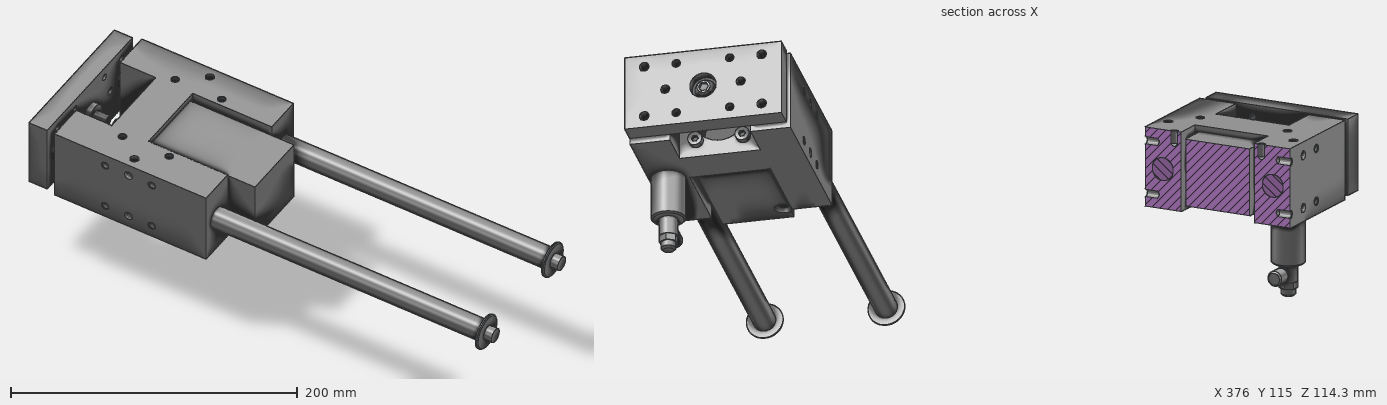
import cadquery as cq
import math

SIGNS = (-1, 1)

block_start = 21.8
block_length = 125.0
block_width = 115.0
block_height = 58.0
arm_width = 28.5
web_start = 51.0
web_thickness = 30.5
web_bore_dia = 36.0
web_screw_offset = 17.0
web_screw_head_dia = 10.0
web_screw_head_height = 5.0
web_socket_dia = 5.0
web_socket_depth = 3.0

hole_row_center = 82.7
hole_pitch = 19.0
top_tapped_y = 34.5
top_dowel_y = 49.5
tapped_dia = 5.0
tapped_mouth_dia = 6.0
tapped_depth = 9.8
drill_point_angle = 118
dowel_dia = 6.5
dowel_depth = 7.0

drive_end = 167.0
drive_width = 51.0
drive_height = 49.0
port_x = 152.5
port_opening = 11.0
port_axis_inset = 4.0
port_height = 7.0
port_plug_dia = 8.0
port_plug_height = 5.0

unit_height = 114.3
fitting_x = 79.0
barrel_dia = 24.0
barrel_bottom = -61.5
barrel_chamfer = 1.0
neck_dia = 13.0
neck_bottom = -75.0
hex_flats = 11.5
hex_bottom = -79.7
nozzle_dia = 10.5
nozzle_chamfer = 1.5
elbow_z = -68.5
elbow_root_dia = 6.8
elbow_cone_start = 84.5
elbow_collar_start = 87.0
elbow_collar_dia = 10.0
elbow_tube_start = 89.0
elbow_tube_dia = 11.0
elbow_end = 100.0
elbow_chamfer = 1.0

plate_thickness = 15.0
plate_width = 112.5
plate_height = 55.5
rod_dia = 16.0
rod_offset = 43.5
carriage_length = 376.0
washer_start = 367.7
washer_thickness = 2.0
washer_dia = 26.5
washer_chamfer = 0.8
rod_tip_dia = 10.5
plate_row_z = hole_pitch
plate_corner_hole_y = 42.0
plate_corner_hole_dia = 6.8
plate_inner_hole_y = hole_pitch
plate_inner_hole_dia = tapped_dia
plate_inner_mouth_dia = tapped_mouth_dia
plate_pin_hole_y = 27.0
coupling_dia = 17.0
coupling_end = 19.5
coupling_pin_dia = 8.0
coupling_pin_end = 30.0
recess_dia = 18.8
recess_depth = 7.5
button_head_dia = 15.0
button_top_dia = 9.5
button_head_height = 5.5
button_socket_dia = 7.0
button_socket_depth = 2.5

block_end = block_start + block_length
block_bottom = -block_height / 2
web_end = web_start + web_thickness
arm_inner = block_width / 2 - arm_width
fitting_bottom = block_height / 2 - unit_height
drive_bottom = -drive_height / 2


def box(x_start, x_end, width, height, y_center=0):
    """Box from x_start to x_end, centred on Z = 0."""
    return (
        cq.Workplane("XY")
        .box(x_end - x_start, width, height, centered=(False, True, True))
        .translate((x_start, y_center, 0))
    )


def x_cylinder(dia, x_start, x_end, y=0, z=0):
    """Round bar along X."""
    return cq.Workplane("YZ", origin=(x_start, y, z)).circle(dia / 2).extrude(x_end - x_start)


def z_cylinder(dia, z_bottom, z_top, x, y):
    """Round bar along Z."""
    return cq.Workplane("XY", origin=(x, y, z_bottom)).circle(dia / 2).extrude(z_top - z_bottom)


def x_cone(start_dia, end_dia, x_start, x_end, y=0, z=0):
    """Cone frustum along X."""
    height = x_end - x_start
    cone = cq.Solid.makeCone(
        start_dia / 2, end_dia / 2, height, cq.Vector(x_start, y, z), cq.Vector(1, 0, 0)
    )
    return cq.Workplane(cone)


def drill(mouth, direction, profile):
    """Turn a (depth, radius) profile about an axis that enters at mouth along direction."""
    entry = cq.Plane(origin=mouth, xDir=(1, 0, 0), normal=direction)
    points = [(radius, depth) for depth, radius in profile]
    outline = cq.Workplane("XZ").polyline(points).close()
    cutter = outline.revolve(360, (0, 0, 0), (0, 1, 0))
    return cq.Workplane(cutter.val().moved(cq.Location(entry)))


def tapped_hole(mouth, direction):
    """Blind hole with a countersunk mouth and a drill point."""
    radius = tapped_dia / 2
    mouth_radius = tapped_mouth_dia / 2
    tip_depth = tapped_depth + radius / math.tan(math.radians(drill_point_angle / 2))
    profile = [
        (0, 0),
        (0, mouth_radius),
        (mouth_radius - radius, radius),
        (tapped_depth, radius),
        (tip_depth, 0),
    ]
    return drill(mouth, direction, profile)


def dowel_hole(mouth, direction):
    """Plain blind hole with a flat floor."""
    radius = dowel_dia / 2
    profile = [(0, 0), (0, radius), (dowel_depth, radius), (dowel_depth, 0)]
    return drill(mouth, direction, profile)


def guide_block():
    """H-shaped block: two arms joined by a bored web, with the guide rod bores."""
    arm_center = arm_inner + arm_width / 2
    block = box(web_start, web_end, block_width, block_height)
    for side in SIGNS:
        block = block.union(box(block_start, block_end, arm_width, block_height, side * arm_center))
    block = block.cut(x_cylinder(web_bore_dia, web_start, web_end))
    for side in SIGNS:
        block = block.cut(x_cylinder(rod_dia, block_start, block_end, side * rod_offset))
    return block


def mounting_holes():
    """Tapped and dowel holes in both sides and in the top of the guide block."""
    holes = []
    for side in SIGNS:
        side_y = side * block_width / 2
        into_side = (0, -side, 0)
        for z in (-hole_pitch, hole_pitch):
            holes.append(dowel_hole((hole_row_center, side_y, z), into_side))
            for x_step in SIGNS:
                x = hole_row_center + x_step * hole_pitch
                holes.append(tapped_hole((x, side_y, z), into_side))
        top_z = block_height / 2
        into_top = (0, 0, -1)
        holes.append(dowel_hole((hole_row_center, side * top_dowel_y, top_z), into_top))
        for x_step in SIGNS:
            x = hole_row_center + x_step * hole_pitch
            holes.append(tapped_hole((x, side * top_tapped_y, top_z), into_top))
    return holes


def web_screw(y, z):
    """Socket screw head standing on the front of the web."""
    head_start = web_start - web_screw_head_height
    head = x_cylinder(web_screw_head_dia, head_start, web_start, y, z)
    socket = cq.Workplane("YZ", origin=(head_start, y, z)).polygon(6, web_socket_dia)
    return head.cut(socket.extrude(web_socket_depth))


def drive_cylinder():
    """Square drive cylinder behind the web, with a supply port notched into its lower edge."""
    drive = box(web_end, drive_end, drive_width, drive_height)
    port_y = port_axis_inset - drive_width / 2
    notch_dia = 2 * math.hypot(port_opening / 2, port_axis_inset)
    port_top = drive_bottom + port_height
    notch = z_cylinder(notch_dia, drive_bottom, port_top, port_x, port_y)
    plug = z_cylinder(port_plug_dia, port_top - port_plug_height, port_top, port_x, port_y)
    return drive.cut(notch).union(plug)


def supply_fitting():
    """Stepped vertical fitting below one arm, with a side outlet along X."""
    y = rod_offset
    barrel = z_cylinder(barrel_dia, barrel_bottom, block_bottom, fitting_x, y)
    barrel = barrel.faces("<Z").chamfer(barrel_chamfer)
    neck = z_cylinder(neck_dia, neck_bottom, barrel_bottom, fitting_x, y)
    hex_corners = hex_flats / math.cos(math.pi / 6)
    hex_nut = cq.Workplane("XY", origin=(fitting_x, y, hex_bottom)).polygon(6, hex_corners)
    hex_nut = hex_nut.extrude(neck_bottom - hex_bottom)
    nozzle = z_cylinder(nozzle_dia, fitting_bottom, hex_bottom, fitting_x, y)
    nozzle = nozzle.faces("<Z").chamfer(nozzle_chamfer)

    root = x_cylinder(elbow_root_dia, fitting_x, elbow_cone_start, y, elbow_z)
    cone = x_cone(elbow_root_dia, elbow_collar_dia, elbow_cone_start, elbow_collar_start, y, elbow_z)
    collar = x_cylinder(elbow_collar_dia, elbow_collar_start, elbow_tube_start, y, elbow_z)
    tube = x_cylinder(elbow_tube_dia, elbow_tube_start, elbow_end, y, elbow_z)
    tube = tube.faces(">X").chamfer(elbow_chamfer)

    fitting = barrel
    for piece in (neck, hex_nut, nozzle, root, cone, collar, tube):
        fitting = fitting.union(piece)
    return fitting


def make_housing():
    housing = guide_block()
    for hole in mounting_holes():
        housing = housing.cut(hole)
    for y in (-web_screw_offset, web_screw_offset):
        for z in (-web_screw_offset, web_screw_offset):
            housing = housing.union(web_screw(y, z))
    return housing.union(drive_cylinder()).union(supply_fitting())


def countersink(y, z):
    """45 degree mouth of an inner plate hole."""
    depth = (plate_inner_mouth_dia - plate_inner_hole_dia) / 2
    return x_cone(plate_inner_mouth_dia, plate_inner_hole_dia, 0, depth, y, z)


def front_plate():
    """Front plate with its through holes and the central screw recess."""
    plate = box(0, plate_thickness, plate_width, plate_height)
    for side in SIGNS:
        hole_places = [(plate_pin_hole_y, 0, dowel_dia)]
        for z in (-plate_row_z, plate_row_z):
            hole_places.append((plate_corner_hole_y, z, plate_corner_hole_dia))
            hole_places.append((plate_inner_hole_y, z, plate_inner_hole_dia))
        for y, z, dia in hole_places:
            plate = plate.cut(x_cylinder(dia, 0, plate_thickness, side * y, z))
        for z in (-plate_row_z, plate_row_z):
            plate = plate.cut(countersink(side * plate_inner_hole_y, z))
    return plate.cut(x_cylinder(recess_dia, 0, recess_depth))


def coupling():
    """Tapered screw head in the plate recess, and the collar and pin behind the plate."""
    head_start = recess_depth - button_head_height
    head = x_cone(button_top_dia, button_head_dia, head_start, recess_depth)
    socket = cq.Workplane("YZ", origin=(head_start, 0, 0)).polygon(6, button_socket_dia)
    head = head.cut(socket.extrude(button_socket_depth))
    collar = x_cylinder(coupling_dia, plate_thickness, coupling_end)
    pin = x_cylinder(coupling_pin_dia, coupling_end, coupling_pin_end)
    return head, collar, pin


def guide_rod(y):
    """Guide rod with a stop washer and a reduced tip."""
    washer_end = washer_start + washer_thickness
    rod = x_cylinder(rod_dia, plate_thickness, washer_start, y)
    washer = x_cylinder(washer_dia, washer_start, washer_end, y).faces(">X").chamfer(washer_chamfer)
    tip = x_cylinder(rod_tip_dia, washer_end, carriage_length, y)
    return rod.union(washer).union(tip)


def make_carriage():
    carriage = front_plate()
    for piece in coupling():
        carriage = carriage.union(piece)
    for side in SIGNS:
        carriage = carriage.union(guide_rod(side * rod_offset))
    return carriage


housing = make_housing()
carriage = make_carriage()
result = cq.Compound.makeCompound([housing.solids().val(), carriage.solids().val()])